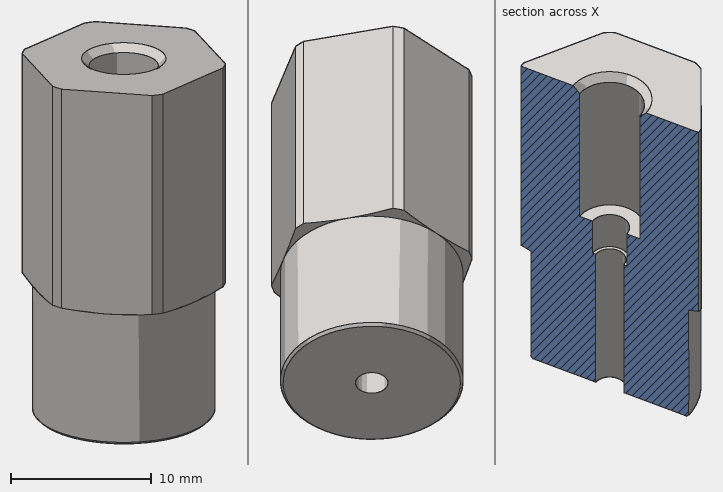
import cadquery as cq
import math

hexagon_sides = 6
half_side_angle = 180.0 / hexagon_sides
across_flats = 13.0
corner_diameter = 14.56
total_length = 27.0

shank_diameter = across_flats
shank_length = 10.0
shank_chamfer = 0.2

underside_angle = 15.0

mouth_diameter = 6.0
main_bore_diameter = 4.92
main_bore_depth = 12.0
step_diameter = 2.8
step_depth = 3.0
through_diameter = 2.3


def hexagonal_head():
    """Hexagonal prism with flats facing +X and -X and turned corners."""
    across_corners = across_flats / math.cos(math.radians(half_side_angle))
    head_length = total_length - shank_length
    prism = (
        cq.Workplane("XY", origin=(0, 0, shank_length))
        .polygon(hexagon_sides, across_corners)
        .extrude(head_length)
        .rotate((0, 0, 0), (0, 0, 1), half_side_angle)
    )

    inner_radius = shank_diameter / 2
    outer_radius = corner_diameter / 2
    cone_rise = (outer_radius - inner_radius) * math.tan(math.radians(underside_angle))
    envelope = (
        cq.Workplane("XZ")
        .moveTo(0, shank_length)
        .lineTo(inner_radius, shank_length)
        .lineTo(outer_radius, shank_length + cone_rise)
        .lineTo(outer_radius, total_length)
        .lineTo(0, total_length)
        .close()
        .revolve(360, (0, 0, 0), (0, 1, 0))
    )
    return prism.intersect(envelope)


def round_shank():
    """Cylindrical shank with a small chamfer at its lower end."""
    return (
        cq.Workplane("XY")
        .circle(shank_diameter / 2)
        .extrude(shank_length)
        .faces("<Z")
        .chamfer(shank_chamfer)
    )


def stepped_bore():
    """Cutting body: 45 degree mouth, main bore, step and through hole."""
    mouth_radius = mouth_diameter / 2
    main_radius = main_bore_diameter / 2
    step_radius = step_diameter / 2
    through_radius = through_diameter / 2
    mouth_bottom = total_length - (mouth_radius - main_radius)
    main_bottom = total_length - main_bore_depth
    step_bottom = main_bottom - step_depth
    return (
        cq.Workplane("XZ")
        .lineTo(through_radius, 0)
        .lineTo(through_radius, step_bottom)
        .lineTo(step_radius, step_bottom)
        .lineTo(step_radius, main_bottom)
        .lineTo(main_radius, main_bottom)
        .lineTo(main_radius, mouth_bottom)
        .lineTo(mouth_radius, total_length)
        .lineTo(0, total_length)
        .close()
        .revolve(360, (0, 0, 0), (0, 1, 0))
    )


result = hexagonal_head().union(round_shank()).cut(stepped_bore())